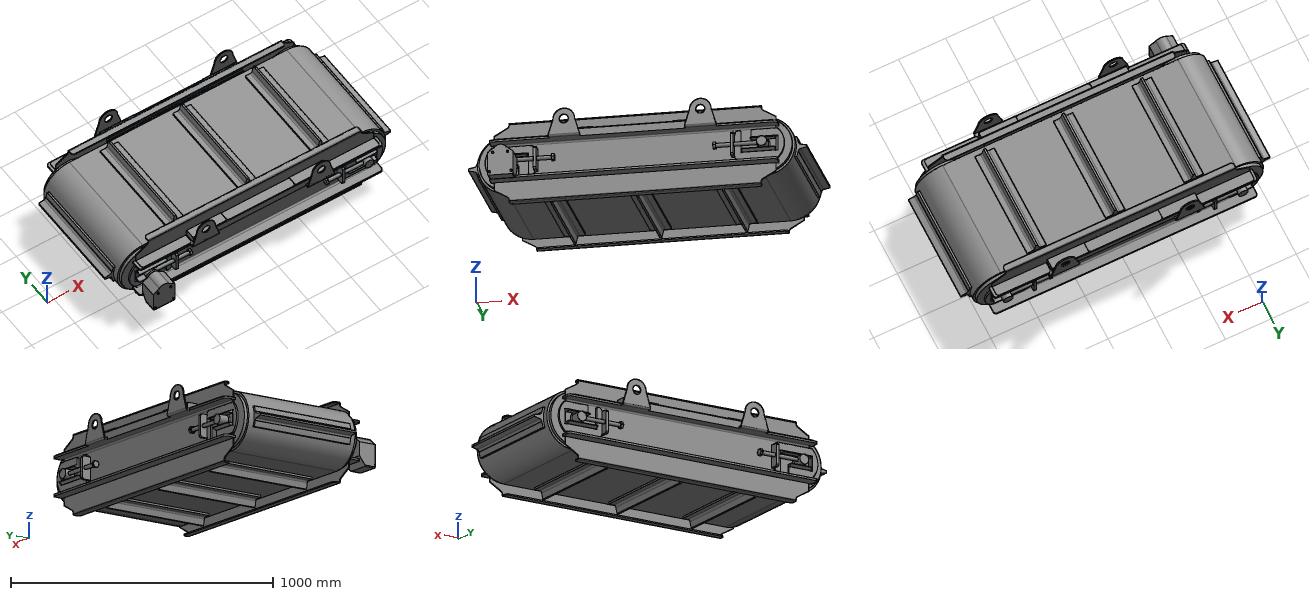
import cadquery as cq
import math


overall_length = 1315.5
overall_width = 734.5
overall_height = 342.35
frame_half_height = 160.0
pulley_spacing = 1000.0
pulley_diameter = 217.0
cleat_height = 40.0

pulley_x = pulley_spacing / 2
pulley_width = 528.0
belt_width = 500.0
cleat_tip_radius = overall_length / 2 - pulley_x
belt_radius = cleat_tip_radius - cleat_height
hub_diameter = 50.0
shaft_diameter = 40.0
shaft_end_y = 315.5

cleat_width = 450.0
cleat_pitch = 334.0
cleat_foot_half = 41.0
cleat_foot_height = 8.0
cleat_root_half = 18.5
cleat_blade_half = 9.5
cleat_blade_start = 15.5
cleat_tip_half = 4.0
cleat_sink = 1.0

plate_inner_y = 270.0
plate_thickness = 4.0
plate_outer_y = plate_inner_y + plate_thickness
plate_half_length = 548.0
lip_half_length = 490.0
lip_inner_y = 244.0
lip_thickness = 5.0
lip_corner = 8.0
lip_bend_radius = 6.0
shoulder_z = 144.0
shoulder_angle = 30.0
shoulder_fillet = 15.0

flange_half_length = 560.0
flange_outer_y = 319.0
flange_inner_z = 71.0
flange_thickness = 8.0
flange_top_z = flange_inner_z + flange_thickness
flange_corner_radius = 12.0
flange_root_fillet = 7.0

cover_thickness = 2.5
cover_corner_radius = 12.0
cover_setback = 2.0
end_cover_inner_x = 318.0

shelf_half_length = 314.0
shelf_inner_y = 265.0
shelf_top_z = 106.0
shelf_recess_half = 157.0
shelf_lid_thickness = 5.0
shelf_body_top_z = shelf_top_z - shelf_lid_thickness

ear_x = 265.5
ear_outer_y = 335.0
ear_thickness = 5.0
ear_top_z = overall_height - frame_half_height
ear_radius = 42.0
ear_hole_z = ear_top_z - ear_radius
ear_hole_diameter = 35.0
ear_base_half = 61.0
ear_bend_radius = 7.0

bearing_thickness = 8.0
bearing_outer_y = plate_outer_y + bearing_thickness
bearing_mid_y = (plate_outer_y + bearing_outer_y) / 2
bearing_half_height = 60.0
bearing_end_radius = 82.0
bearing_inner_x = 389.0
bearing_corner_radius = 16.0
slot_start_x = 413.0
slot_end_x = 557.0
slot_half_height = 30.0
slot_mouth_end_x = 452.0
slot_mouth_radius = 6.0

rail_gap_half = shaft_diameter / 2
rail_outer_y = 299.0
rail_face_height = 2.0
rail_foot_y = bearing_outer_y + 2.0
rail_end_x = 548.0
rail_clearance = 5.0

lug_thickness = 11.0
lug_half_height = 46.0
lug_outer_y = 311.5
lug_chamfer = 7.0
screw_diameter = 16.0
screw_y = 296.0
screw_head_flats = 24.0
screw_head_height = 10.0
screw_tip_x = 309.0

gearbox_bolt_diameter = 8.0
gearbox_bolt_height = 4.0
gearbox_outer_y = overall_width - ear_outer_y - gearbox_bolt_height
gearbox_inner_y = 321.0
gearbox_half_width = 50.0
gearbox_top_radius = 30.0
gearbox_arc_end_z = 20.0
gearbox_shoulder_z = -1.0
gearbox_bottom_z = -93.0
gearbox_slope_start_z = -56.0
gearbox_slope_end_y = 350.0
gearbox_edge_chamfer = 4.0
gearbox_flange_inner_y = 313.0
gearbox_flange_diameter = 58.0
gearbox_bolts = ((29.0, -2.0), (42.0, -80.0))


def block(x0, x1, y0, y1, z0, z1):
    """Box between two corners, with its Y limits given as distances towards -Y."""
    box = cq.Workplane("XY").box(x1 - x0, y1 - y0, z1 - z0, centered=False)
    return box.translate((x0, -y1, z0))


def at_depth(y):
    """XZ sketch plane at distance y towards -Y; extrusions from it grow towards -Y."""
    return cq.Workplane("XZ", origin=(0, -y, 0))


def cylinder_y(x, diameter, y0, y1):
    """Cylinder along Y on the pulley axis at x, from y0 to y1 towards -Y."""
    return at_depth(y0).center(x, 0).circle(diameter / 2).extrude(y1 - y0)


def belt_loop():
    def stadium(radius):
        length = pulley_spacing + 2 * radius
        return at_depth(-belt_width / 2).slot2D(length, 2 * radius).extrude(belt_width)

    return stadium(belt_radius).cut(stadium(pulley_diameter / 2))


def pulley(x):
    drum = cylinder_y(x, pulley_diameter, -pulley_width / 2, pulley_width / 2)
    hub = cylinder_y(x, hub_diameter, -plate_inner_y, plate_inner_y)
    shaft = cylinder_y(x, shaft_diameter, -shaft_end_y, shaft_end_y)
    return drum.union(hub).union(shaft)


def cleat_blade():
    """Blade and root of a cleat pointing up at x = 0, reaching slightly into the belt."""
    foot_top = belt_radius + cleat_foot_height
    blade_start = belt_radius + cleat_blade_start
    bend_x = (cleat_root_half + 2 * cleat_blade_half) / 3
    bend_z = (2 * foot_top + blade_start) / 3
    return (
        at_depth(-cleat_width / 2)
        .moveTo(-cleat_root_half, belt_radius - cleat_sink)
        .lineTo(-cleat_root_half, foot_top)
        .threePointArc((-bend_x, bend_z), (-cleat_blade_half, blade_start))
        .lineTo(-cleat_tip_half, cleat_tip_radius)
        .lineTo(cleat_tip_half, cleat_tip_radius)
        .lineTo(cleat_blade_half, blade_start)
        .threePointArc((bend_x, bend_z), (cleat_root_half, foot_top))
        .lineTo(cleat_root_half, belt_radius - cleat_sink)
        .close()
        .extrude(cleat_width)
    )


def flat_cleat():
    """Cleat on the straight run of the belt."""
    foot = block(
        -cleat_foot_half, cleat_foot_half, -cleat_width / 2, cleat_width / 2,
        belt_radius - cleat_sink, belt_radius + cleat_foot_height,
    )
    return cleat_blade().union(foot)


def wrapped_cleat():
    """Cleat whose foot curves around a pulley centred on the origin."""
    ring = (
        at_depth(-cleat_width / 2)
        .circle(belt_radius + cleat_foot_height)
        .circle(belt_radius - cleat_sink)
        .extrude(cleat_width)
    )
    sector = block(
        -cleat_foot_half, cleat_foot_half, -cleat_width / 2, cleat_width / 2,
        0, cleat_tip_radius,
    )
    return cleat_blade().union(ring.intersect(sector))


def belt_with_cleats():
    belt = belt_loop()
    upright = flat_cleat()
    inverted = upright.mirror("XY")
    for x in (-cleat_pitch, 0, cleat_pitch):
        belt = belt.union(upright.translate((x, 0, 0)))
        belt = belt.union(inverted.translate((x, 0, 0)))
    wrapped = wrapped_cleat()
    for direction in (-1, 1):
        end_cleat = wrapped.rotate((0, 0, 0), (0, 1, 0), direction * 90)
        belt = belt.union(end_cleat.translate((direction * pulley_x, 0, 0)))
    return belt


def side_plate():
    shoulder_run = plate_half_length - lip_half_length
    shoulder_end_z = shoulder_z - shoulder_run * math.tan(math.radians(shoulder_angle))
    corner = [
        (lip_half_length, frame_half_height),
        (lip_half_length, shoulder_z),
        (plate_half_length, shoulder_end_z),
    ]
    right_edge = corner + [(x, -z) for x, z in reversed(corner)]
    left_edge = [(-x, -z) for x, z in right_edge]
    plate = at_depth(plate_inner_y).polyline(right_edge + left_edge).close().extrude(plate_thickness)
    for x in (-lip_half_length, lip_half_length):
        for z in (-shoulder_z, shoulder_z):
            edge = cq.selectors.NearestToPointSelector((x, -plate_inner_y - plate_thickness / 2, z))
            plate = plate.edges(edge).fillet(shoulder_fillet)
    lip = block(
        -lip_half_length, lip_half_length, lip_inner_y, plate_outer_y,
        frame_half_height - lip_thickness, frame_half_height,
    )
    lip = lip.edges("|Z and >Y").chamfer(lip_corner)
    plate = plate.union(lip).union(lip.mirror("XY"))
    for z in (-frame_half_height, frame_half_height):
        edge = cq.selectors.NearestToPointSelector((0, -plate_outer_y, z))
        plate = plate.edges(edge).fillet(lip_bend_radius)
    return plate


def flange():
    """Top outward flange with a filleted root against the underside of the side plate."""
    plate = block(
        -flange_half_length, flange_half_length, plate_inner_y, flange_outer_y,
        flange_inner_z, flange_top_z,
    )
    plate = plate.edges("|Z and <Y").fillet(flange_corner_radius)
    root_z = flange_inner_z - flange_root_fillet
    root = (
        cq.Workplane("YZ", origin=(-plate_half_length, 0, 0))
        .moveTo(-plate_outer_y, flange_inner_z)
        .lineTo(-plate_outer_y - flange_root_fillet, flange_inner_z)
        .radiusArc((-plate_outer_y, root_z), flange_root_fillet)
        .close()
        .extrude(2 * plate_half_length)
    )
    return plate.union(root)


def shelf():
    body = block(
        -shelf_half_length, shelf_half_length, shelf_inner_y, flange_outer_y,
        flange_inner_z, shelf_body_top_z,
    )
    right_lid = block(
        shelf_recess_half, shelf_half_length, plate_inner_y, flange_outer_y - cover_setback,
        shelf_body_top_z, shelf_top_z,
    )
    return body.union(right_lid).union(right_lid.mirror("YZ"))


def cover_plate(x0, x1, z):
    """Thin plate with rounded outer corners and its underside at height z."""
    plate = block(x0, x1, plate_inner_y, flange_outer_y - cover_setback, z, z + cover_thickness)
    return plate.edges("|Z and <Y").fillet(cover_corner_radius)


def cover_plates():
    middle = cover_plate(-shelf_recess_half, shelf_recess_half, shelf_body_top_z)
    right = cover_plate(end_cover_inner_x, plate_half_length, flange_top_z)
    left = cover_plate(-plate_half_length, -end_cover_inner_x, flange_top_z)
    return middle.union(right).union(left)


def lifting_ear(x):
    plate = (
        at_depth(ear_outer_y - ear_thickness)
        .moveTo(x - ear_base_half, flange_inner_z)
        .lineTo(x - ear_base_half, flange_top_z)
        .lineTo(x - ear_radius, ear_hole_z)
        .threePointArc((x, ear_top_z), (x + ear_radius, ear_hole_z))
        .lineTo(x + ear_base_half, flange_top_z)
        .lineTo(x + ear_base_half, flange_inner_z)
        .close()
        .extrude(ear_thickness)
    )
    hole = (
        at_depth(ear_outer_y - ear_thickness)
        .center(x, ear_hole_z)
        .circle(ear_hole_diameter / 2)
        .extrude(ear_thickness)
    )
    foot = block(
        x - ear_base_half, x + ear_base_half, plate_outer_y, ear_outer_y,
        flange_inner_z, flange_top_z,
    )
    return plate.cut(hole).union(foot).edges("|X and <Y and <Z").fillet(ear_bend_radius)


def bearing_plate():
    end_corner_x = pulley_x + math.sqrt(bearing_end_radius**2 - bearing_half_height**2)
    plate = (
        at_depth(plate_outer_y)
        .moveTo(bearing_inner_x, -bearing_half_height)
        .lineTo(end_corner_x, -bearing_half_height)
        .threePointArc((pulley_x + bearing_end_radius, 0), (end_corner_x, bearing_half_height))
        .lineTo(bearing_inner_x, bearing_half_height)
        .close()
        .extrude(bearing_thickness)
        .edges("|Y and <X")
        .fillet(bearing_corner_radius)
    )
    slot = block(
        slot_start_x, slot_end_x, plate_outer_y, bearing_outer_y,
        -slot_half_height, slot_half_height,
    )
    mouth = block(
        slot_start_x, slot_mouth_end_x, plate_outer_y, bearing_outer_y,
        slot_half_height, bearing_half_height,
    )
    plate = plate.cut(slot).cut(mouth)
    for x in (slot_start_x, slot_mouth_end_x):
        edge = cq.selectors.NearestToPointSelector((x, -bearing_mid_y, bearing_half_height))
        plate = plate.edges(edge).fillet(slot_mouth_radius)
    return plate


def slide_rail(start_x):
    """Rail above the shaft, sloping back from its front edge to the bearing plate."""
    return (
        cq.Workplane("YZ", origin=(start_x, 0, 0))
        .moveTo(-plate_outer_y, rail_gap_half)
        .lineTo(-rail_outer_y, rail_gap_half)
        .lineTo(-rail_outer_y, rail_gap_half + rail_face_height)
        .lineTo(-rail_foot_y, slot_half_height)
        .lineTo(-plate_outer_y, slot_half_height)
        .close()
        .extrude(rail_end_x - start_x)
    )


def tension_screw():
    lug = block(
        bearing_inner_x - lug_thickness, bearing_inner_x, plate_outer_y, lug_outer_y,
        -lug_half_height, lug_half_height,
    )
    lug = lug.edges("|X and <Y").chamfer(lug_chamfer)
    axis_plane = cq.Workplane("YZ", origin=(screw_tip_x, -screw_y, 0))
    rod = axis_plane.circle(screw_diameter / 2).extrude(pulley_x - screw_tip_x)
    head_corners = screw_head_flats / math.cos(math.pi / 6)
    head = axis_plane.polygon(6, head_corners).extrude(screw_head_height)
    return lug.union(rod).union(head)


def tensioner():
    """Shaft bearing and tensioner of the +X end."""
    upper_rail = slide_rail(slot_mouth_end_x)
    lower_rail = slide_rail(slot_start_x + rail_clearance).mirror("XY")
    return bearing_plate().union(upper_rail).union(lower_rail).union(tension_screw())


def side_frame():
    top_flange = flange()
    frame = side_plate().union(top_flange).union(top_flange.mirror("XY")).union(shelf())
    frame = frame.union(cover_plates())
    for x in (-ear_x, ear_x):
        frame = frame.union(lifting_ear(x))
    right_end = tensioner()
    left_end = right_end.rotate((0, 0, 0), (0, 1, 0), 180)
    return frame.union(right_end).union(left_end)


def gearbox():
    arc_end_x = math.sqrt(gearbox_top_radius**2 - gearbox_arc_end_z**2)
    depth = gearbox_outer_y - gearbox_inner_y
    housing = (
        at_depth(gearbox_inner_y)
        .moveTo(-gearbox_half_width, gearbox_bottom_z)
        .lineTo(-gearbox_half_width, gearbox_shoulder_z)
        .lineTo(-arc_end_x, gearbox_arc_end_z)
        .threePointArc((0, gearbox_top_radius), (arc_end_x, gearbox_arc_end_z))
        .lineTo(gearbox_half_width, gearbox_shoulder_z)
        .lineTo(gearbox_half_width, gearbox_bottom_z)
        .close()
        .extrude(depth)
        .edges("|Y and <Z")
        .chamfer(gearbox_edge_chamfer)
    )
    slope = (
        cq.Workplane("YZ", origin=(-gearbox_half_width, 0, 0))
        .moveTo(-gearbox_inner_y, gearbox_slope_start_z)
        .lineTo(-gearbox_slope_end_y, gearbox_bottom_z)
        .lineTo(-gearbox_inner_y, gearbox_bottom_z)
        .close()
        .extrude(2 * gearbox_half_width)
    )
    housing = housing.cut(slope)
    for half_pitch, z in gearbox_bolts:
        bolts = (
            at_depth(gearbox_outer_y)
            .pushPoints([(-half_pitch, z), (half_pitch, z)])
            .circle(gearbox_bolt_diameter / 2)
            .extrude(gearbox_bolt_height)
        )
        housing = housing.union(bolts)
    mounting_flange = cylinder_y(0, gearbox_flange_diameter, gearbox_flange_inner_y, gearbox_inner_y)
    return housing.union(mounting_flange).translate((-pulley_x, 0, 0))


near_frame = side_frame()
result = belt_with_cleats()
for axis_x in (-pulley_x, pulley_x):
    result = result.union(pulley(axis_x))
result = result.union(near_frame).union(near_frame.mirror("XZ")).union(gearbox())